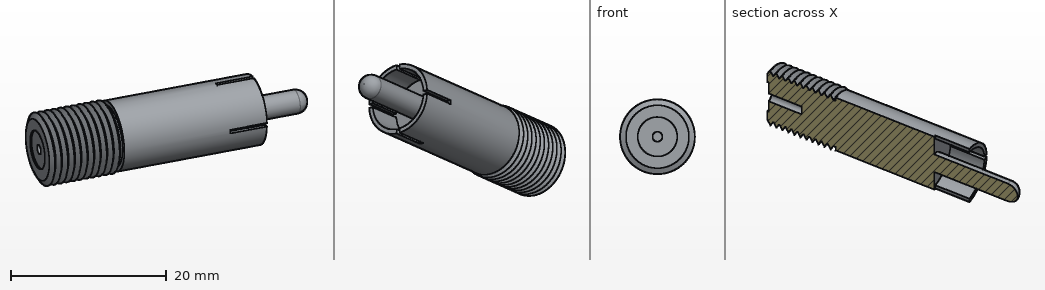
import cadquery as cq
import math

OVERALL_LENGTH = 37.338
THREAD_PITCH = 0.898
THREAD_COUNT = 11
BODY_START = 10.16
BODY_END = 29.972

THREAD_CREST_RADIUS = 4.826
THREAD_FLANK_ANGLE = 60.0
BODY_RADIUS = 4.661
SOCKET_RADIUS = 4.064
PIN_RADIUS = 1.5875
PIN_ROUNDING = 1.524

SOCKET_DEPTH = 5.08
SLOT_WIDTH = 0.508

RECESS_RADIUS = 2.54
RECESS_DEPTH = 0.22
CENTRE_HOLE_RADIUS = 0.635
CENTRE_HOLE_DEPTH = 5.08

THREAD_ROOT_RADIUS = (
    THREAD_CREST_RADIUS - THREAD_PITCH / (2 * math.tan(math.radians(THREAD_FLANK_ANGLE / 2)))
)
SOCKET_FLOOR = BODY_END - SOCKET_DEPTH


def cylinder(radius, start, end):
    """Cylinder on the Y axis between two axial positions."""
    return cq.Workplane("XZ", origin=(0, start, 0)).circle(radius).extrude(start - end)


def make_outer_body():
    """Barrel, neck and ring-shaped V threads, starting from the threaded end face."""
    profile = cq.Workplane("XY").moveTo(0, 0).lineTo(THREAD_ROOT_RADIUS, 0)
    for index in range(THREAD_COUNT):
        profile = profile.lineTo(THREAD_CREST_RADIUS, (index + 0.5) * THREAD_PITCH)
        profile = profile.lineTo(THREAD_ROOT_RADIUS, (index + 1) * THREAD_PITCH)
    profile = (
        profile.lineTo(THREAD_ROOT_RADIUS, BODY_START)
        .lineTo(BODY_RADIUS, BODY_START)
        .lineTo(BODY_RADIUS, BODY_END)
        .lineTo(0, BODY_END)
    )
    return profile.close().revolve(360, (0, 0, 0), (0, 1, 0))


def make_pin():
    """Centre pin rising from the socket floor, with a rounded tip."""
    pin = cylinder(PIN_RADIUS, SOCKET_FLOOR, OVERALL_LENGTH)
    return pin.faces(">Y").edges().fillet(PIN_ROUNDING)


def make_slots():
    """Two crossed slots that split the socket wall into four fingers."""
    slot_centre = (0, BODY_END - SOCKET_DEPTH / 2, 0)
    across = 2 * THREAD_CREST_RADIUS
    upright = cq.Workplane("XY").box(SLOT_WIDTH, SOCKET_DEPTH, across).translate(slot_centre)
    level = cq.Workplane("XY").box(across, SOCKET_DEPTH, SLOT_WIDTH).translate(slot_centre)
    return upright.union(level)


def make_end_face_cuts():
    """Shallow round recess with a blind centre hole."""
    recess = cylinder(RECESS_RADIUS, 0, RECESS_DEPTH)
    hole = cylinder(CENTRE_HOLE_RADIUS, 0, CENTRE_HOLE_DEPTH)
    return recess.union(hole)


socket = cylinder(SOCKET_RADIUS, SOCKET_FLOOR, BODY_END)
shell = make_outer_body().cut(socket).cut(make_slots())
result = shell.union(make_pin()).cut(make_end_face_cuts())